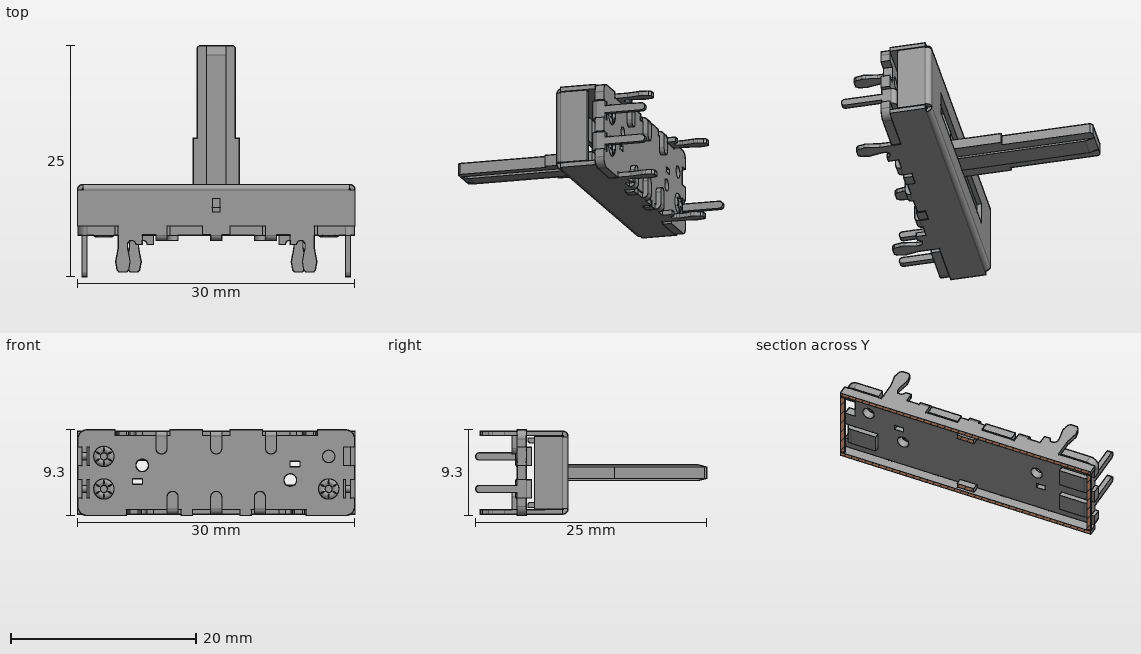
import cadquery as cq
import math


CASE_LENGTH = 30.0
CASE_HEIGHT = 9.0
CASE_SHEET = 0.5
CASE_BEND_RADIUS = 0.6
END_WALL_DEPTH = 3.65
CORNER_SLIT = 0.07
SIDE_WALL_INNER_Z = CASE_HEIGHT / 2 - CASE_SHEET
BEND_RELIEF = 0.62
LEVER_SLOT_LENGTH = 20.0
LEVER_SLOT_HEIGHT = 2.65
WINDOW_WIDTH = 0.86
WINDOW_FRONT_Y = -1.54
WINDOW_DEPTH = 1.46

PLATE_LENGTH = 29.9
PLATE_HEIGHT = 9.3
PLATE_FRONT_Y = -4.52
PLATE_THICKNESS = 1.0
PLATE_BACK_Y = PLATE_FRONT_Y - PLATE_THICKNESS
PLATE_CORNER_RADIUS = 1.0
SIGHT_HOLE_RADIUS = 0.67
SIGHT_HOLE_X = 8.0
SIGHT_HOLE_Z = 0.8
SIGHT_SLOT_X = 8.5
SIGHT_SLOT_Z = 0.95
SIGHT_SLOT_WIDTH = 1.05
SIGHT_SLOT_HEIGHT = 0.57

TONGUE_EDGE_Y = -5.42
UPPER_LEG_X = 10.6
LEG_STAGGER = 1.2
TONGUE_LENGTH = 5.28
NOTCH_CLEARANCE = 0.32
UPPER_CENTRE_TONGUE_WIDTH = 2.95
LOWER_CENTRE_TONGUE_WIDTH = 5.1
FOLD_TAB_WIDTH = 1.2
FOLD_TAB_BACK_Y = -6.07
FOLD_TAB_TIP_Z = 2.02
FOLD_RADIUS = PLATE_BACK_Y - FOLD_TAB_BACK_Y

LEG_NECK_Y = -6.85
LEG_BULGE_TOP_Y = -8.16
LEG_BULGE_BOTTOM_Y = -8.58
LEG_TIP_CHAMFER_Y = -9.25
LEG_TIP_Y = -9.5
LEG_NECK_WIDTH = 1.02
LEG_BULGE = 0.28
LEG_BULGE_SAGITTA = 0.04
LEG_TIP_BULGE = 0.12
LEG_TIP_INSET = 0.1
LEG_RELIEF_RADIUS = 0.45
LEG_FOOT_X = 2.62
LEG_FOOT_Y = -6.52

TERMINAL_WIDTH = 2.0
TERMINAL_Z = 1.76
TERMINAL_OUTER_X = 14.53
TERMINAL_SHEET = 0.58
TERMINAL_BEND_RADIUS = 0.57
TERMINAL_FRONT_Y = PLATE_FRONT_Y + TERMINAL_SHEET
TERMINAL_INNER_X = 11.0
PIN_WIDTH = 0.8
PIN_TIP_Y = -10.0
PIN_SLOT_INNER_X = 13.75

RIVET_X = 12.15
RIVET_OUTER_RADIUS = 1.1
RIVET_INNER_RADIUS = 0.38
RIVET_HEIGHT = 0.18
RIVET_PETALS = 6
RIVET_GROOVE_SIZE = 0.08
GROOVE_TURN = 45
FULL_TURN = 360

LEVER_LENGTH = 15.0
LEVER_WIDTH = 4.15
LEVER_THICKNESS = 1.24
LEVER_TIP_CHAMFER = 0.25
LEVER_BASE_WIDTH = 5.0
LEVER_BASE_LENGTH = 5.0
LEVER_RIB_WIDTH = 2.1
LEVER_RIB_THICKNESS = 1.74
LEVER_RIB_TAPER = 1.0
CARRIAGE_WIDTH = 6.0
CARRIAGE_BACK_Y = -2.53
CARRIAGE_FOOT_WIDTH = 2.0
CARRIAGE_FOOT_BACK_Y = -4.36
CARRIAGE_FOOT_INNER_Z = 3.2
CARRIAGE_FOOT_OUTER_Z = 3.77
CARRIAGE_FOOT_CHAMFER = 0.2


def block(x0, x1, y0, y1, z0, z1):
    """Axis aligned box between two corners."""
    return cq.Workplane("XY").box(x1 - x0, y1 - y0, z1 - z0, centered=False).translate((x0, y0, z0))


def centred_block(width, y0, y1, height):
    """Box centred on the Y axis."""
    return block(-width / 2, width / 2, y0, y1, -height / 2, height / 2)


def side_wall_face(x, side):
    """XY plane at the inner face of a side wall, extruding towards its outside."""
    return cq.Workplane("XY", origin=(x, 0, side * SIDE_WALL_INNER_Z))


def leg_x(side):
    """Distance of the outer leg edge from the middle; the lower legs are staggered inwards."""
    return UPPER_LEG_X if side > 0 else UPPER_LEG_X - LEG_STAGGER


def centre_tongue_width(side):
    return UPPER_CENTRE_TONGUE_WIDTH if side > 0 else LOWER_CENTRE_TONGUE_WIDTH


def make_case():
    half_length = CASE_LENGTH / 2
    inner_x = half_length - CASE_SHEET
    outer = centred_block(CASE_LENGTH, PLATE_FRONT_Y, 0, CASE_HEIGHT)
    outer = outer.faces(">Y").edges().fillet(CASE_BEND_RADIUS)
    inside = centred_block(2 * inner_x, PLATE_FRONT_Y, -CASE_SHEET, 2 * SIDE_WALL_INNER_Z)
    case = outer.cut(inside)
    case = case.cut(centred_block(LEVER_SLOT_LENGTH, -CASE_SHEET, 0, LEVER_SLOT_HEIGHT))
    case = case.cut(
        centred_block(CASE_LENGTH, PLATE_FRONT_Y, -END_WALL_DEPTH, 2 * SIDE_WALL_INNER_Z)
    )
    for side in (1, -1):
        slit_z = side * (SIDE_WALL_INNER_Z - CORNER_SLIT / 2)
        slit = centred_block(CASE_LENGTH, PLATE_FRONT_Y, -CASE_BEND_RADIUS, CORNER_SLIT)
        case = case.cut(slit.translate((0, 0, slit_z)))
    window = block(
        -WINDOW_WIDTH / 2, WINDOW_WIDTH / 2,
        WINDOW_FRONT_Y - WINDOW_DEPTH, WINDOW_FRONT_Y,
        SIDE_WALL_INNER_Z, CASE_HEIGHT / 2,
    )
    case = case.cut(window)

    corner = block(
        CASE_LENGTH / 2 - BEND_RELIEF, CASE_LENGTH / 2,
        -CASE_BEND_RADIUS, 0,
        CASE_HEIGHT / 2 - BEND_RELIEF, CASE_HEIGHT / 2,
    )
    corners = corner.union(corner.mirror("XY"))
    return case.cut(corners).cut(corners.mirror("YZ"))


def make_leg(side):
    """Wall tongue on +X with its mounting leg, relief notch and foot."""
    outer_x = leg_x(side)
    relief_x = LEG_NECK_WIDTH + LEG_RELIEF_RADIUS
    bulge_middle_y = (LEG_BULGE_TOP_Y + LEG_BULGE_BOTTOM_Y) / 2
    bulge_flank = LEG_BULGE - LEG_BULGE_SAGITTA
    leg = (
        side_wall_face(outer_x, side)
        .moveTo(0, PLATE_FRONT_Y)
        .lineTo(0, LEG_NECK_Y)
        .lineTo(bulge_flank, LEG_BULGE_TOP_Y)
        .threePointArc((LEG_BULGE, bulge_middle_y), (bulge_flank, LEG_BULGE_BOTTOM_Y))
        .lineTo(LEG_TIP_BULGE, LEG_TIP_CHAMFER_Y)
        .lineTo(-LEG_TIP_INSET, LEG_TIP_Y)
        .lineTo(-LEG_NECK_WIDTH + LEG_TIP_INSET, LEG_TIP_Y)
        .lineTo(-LEG_NECK_WIDTH - LEG_TIP_BULGE, LEG_TIP_CHAMFER_Y)
        .lineTo(-LEG_NECK_WIDTH - bulge_flank, LEG_BULGE_BOTTOM_Y)
        .threePointArc(
            (-LEG_NECK_WIDTH - LEG_BULGE, bulge_middle_y),
            (-LEG_NECK_WIDTH - bulge_flank, LEG_BULGE_TOP_Y),
        )
        .lineTo(-LEG_NECK_WIDTH, LEG_NECK_Y)
        .lineTo(LEG_RELIEF_RADIUS - relief_x, LEG_FOOT_Y)
        .threePointArc(
            (-relief_x, LEG_FOOT_Y + LEG_RELIEF_RADIUS),
            (-relief_x - LEG_RELIEF_RADIUS, LEG_FOOT_Y),
        )
        .lineTo(-LEG_FOOT_X, LEG_FOOT_Y)
        .lineTo(-LEG_FOOT_X, TONGUE_EDGE_Y)
        .lineTo(-TONGUE_LENGTH, TONGUE_EDGE_Y)
        .lineTo(-TONGUE_LENGTH, PLATE_FRONT_Y)
        .close()
        .extrude(side * CASE_SHEET)
    )
    return leg


def make_fold_tab(x, side):
    """Tab bent from the side wall over the back of the plate, with a round end."""
    outer_z = CASE_HEIGHT / 2
    tip_centre_z = FOLD_TAB_TIP_Z + FOLD_TAB_WIDTH / 2
    middle = FOLD_RADIUS * (1 - math.sqrt(0.5))
    strip = (
        cq.Workplane("YZ", origin=(x - FOLD_TAB_WIDTH / 2, 0, 0))
        .moveTo(TONGUE_EDGE_Y, SIDE_WALL_INNER_Z)
        .lineTo(TONGUE_EDGE_Y, outer_z)
        .lineTo(FOLD_TAB_BACK_Y + FOLD_RADIUS, outer_z)
        .threePointArc(
            (FOLD_TAB_BACK_Y + middle, outer_z - middle),
            (FOLD_TAB_BACK_Y, outer_z - FOLD_RADIUS),
        )
        .lineTo(FOLD_TAB_BACK_Y, tip_centre_z)
        .lineTo(PLATE_BACK_Y, tip_centre_z)
        .lineTo(PLATE_BACK_Y, SIDE_WALL_INNER_Z)
        .close()
        .extrude(FOLD_TAB_WIDTH)
    )
    tip = (
        cq.Workplane("XZ", origin=(x, PLATE_BACK_Y, tip_centre_z))
        .circle(FOLD_TAB_WIDTH / 2)
        .extrude(FOLD_RADIUS)
    )
    tab = strip.union(tip)
    return tab if side > 0 else tab.mirror("XY")


def make_tongues(side):
    legs = make_leg(side)
    tongues = legs.union(legs.mirror("YZ"))
    centre = centred_block(centre_tongue_width(side), TONGUE_EDGE_Y, PLATE_FRONT_Y, CASE_SHEET)
    centre_z = side * (SIDE_WALL_INNER_Z + CASE_SHEET / 2)
    tongues = tongues.union(centre.translate((0, 0, centre_z)))
    outer_tab_x = leg_x(side) - TONGUE_LENGTH + FOLD_TAB_WIDTH / 2
    for x in (-outer_tab_x, 0, outer_tab_x):
        tongues = tongues.union(make_fold_tab(x, side))
    return tongues


def make_plate():
    plate = centred_block(PLATE_LENGTH, PLATE_BACK_Y, PLATE_FRONT_Y, PLATE_HEIGHT)
    plate = plate.edges("|Y").fillet(PLATE_CORNER_RADIUS)

    def through(x, width, z, height):
        cutter = centred_block(width, PLATE_BACK_Y, PLATE_FRONT_Y, height)
        return cutter.translate((x, 0, z))

    notch_height = PLATE_HEIGHT / 2 - SIDE_WALL_INNER_Z
    for side in (1, -1):
        notch_z = side * (SIDE_WALL_INNER_Z + notch_height / 2)
        notch_width = TONGUE_LENGTH + 2 * NOTCH_CLEARANCE
        notch_x = leg_x(side) - TONGUE_LENGTH / 2
        for end in (1, -1):
            plate = plate.cut(through(end * notch_x, notch_width, notch_z, notch_height))
        plate = plate.cut(through(0, centre_tongue_width(side), notch_z, notch_height))
        plate = plate.cut(
            through(side * SIGHT_SLOT_X, SIGHT_SLOT_WIDTH, side * SIGHT_SLOT_Z, SIGHT_SLOT_HEIGHT)
        )
        plate = plate.cut(plate_hole(-side * SIGHT_HOLE_X, side * SIGHT_HOLE_Z))

        opening_width = CASE_LENGTH / 2 - PIN_SLOT_INNER_X
        opening_x = PIN_SLOT_INNER_X + opening_width / 2
        for end in (1, -1):
            plate = plate.cut(through(end * opening_x, opening_width, side * TERMINAL_Z, TERMINAL_WIDTH))
    return plate.cut(plate_hole(RIVET_X, TERMINAL_Z))


def plate_hole(x, z):
    """Round cutter through the plate."""
    circle = cq.Workplane("XZ", origin=(x, PLATE_FRONT_Y, z)).circle(SIGHT_HOLE_RADIUS)
    return circle.extrude(PLATE_THICKNESS)


def make_terminal():
    """Terminal on +X at Z = 0: strip on the plate, bend, neck and round ended pin."""
    neck_inner_x = TERMINAL_OUTER_X - TERMINAL_SHEET
    strip = block(
        TERMINAL_INNER_X, TERMINAL_OUTER_X,
        PLATE_FRONT_Y, TERMINAL_FRONT_Y,
        -TERMINAL_WIDTH / 2, TERMINAL_WIDTH / 2,
    )
    strip = strip.faces(">Y").edges(">X").fillet(TERMINAL_BEND_RADIUS)
    neck = block(
        neck_inner_x, TERMINAL_OUTER_X,
        PLATE_BACK_Y, PLATE_FRONT_Y,
        -TERMINAL_WIDTH / 2, TERMINAL_WIDTH / 2,
    )
    round_y = PIN_TIP_Y + PIN_WIDTH / 2
    pin = (
        cq.Workplane("YZ", origin=(neck_inner_x, 0, 0))
        .moveTo(PLATE_BACK_Y, PIN_WIDTH / 2)
        .lineTo(round_y, PIN_WIDTH / 2)
        .threePointArc((PIN_TIP_Y, 0), (round_y, -PIN_WIDTH / 2))
        .lineTo(PLATE_BACK_Y, -PIN_WIDTH / 2)
        .close()
        .extrude(TERMINAL_SHEET)
    )
    return strip.union(neck).union(pin).union(make_rivet_head())


def make_rivet_head():
    """Domed ring on the back of the plate, split into petals by radial grooves."""
    crown_radius = (RIVET_OUTER_RADIUS + RIVET_INNER_RADIUS) / 2
    head = (
        cq.Workplane("XY")
        .moveTo(RIVET_INNER_RADIUS, 0)
        .threePointArc((crown_radius, -RIVET_HEIGHT), (RIVET_OUTER_RADIUS, 0))
        .close()
        .revolve(FULL_TURN, (0, 0, 0), (0, 1, 0))
    )
    groove = (
        cq.Workplane("XY")
        .box(RIVET_GROOVE_SIZE, RIVET_GROOVE_SIZE, RIVET_OUTER_RADIUS, centered=(True, True, False))
        .rotate((0, 0, 0), (0, 0, 1), GROOVE_TURN)
        .translate((0, -RIVET_HEIGHT, 0))
    )
    for petal in range(RIVET_PETALS):
        head = head.cut(groove.rotate((0, 0, 0), (0, 1, 0), petal * FULL_TURN / RIVET_PETALS))
    return head.translate((RIVET_X, PLATE_BACK_Y, 0))


def make_terminals():
    right = make_terminal()
    left = right.mirror("YZ")
    terminals = right.translate((0, 0, -TERMINAL_Z))
    for side in (1, -1):
        terminals = terminals.union(left.translate((0, 0, side * TERMINAL_Z)))
    return terminals


def make_carriage_foot(side):
    """Foot on the back of the carriage, chamfered on its inner rear edge."""
    foot = block(
        -CARRIAGE_FOOT_WIDTH / 2, CARRIAGE_FOOT_WIDTH / 2,
        CARRIAGE_FOOT_BACK_Y, CARRIAGE_BACK_Y,
        CARRIAGE_FOOT_INNER_Z, CARRIAGE_FOOT_OUTER_Z,
    )
    foot = foot.faces("<Y").edges("<Z").chamfer(CARRIAGE_FOOT_CHAMFER)
    return foot if side > 0 else foot.mirror("XY")


def make_lever():
    grip = centred_block(LEVER_WIDTH, 0, LEVER_LENGTH, LEVER_THICKNESS)
    grip = grip.faces(">Y").edges("|Z").chamfer(LEVER_TIP_CHAMFER)
    base = centred_block(LEVER_BASE_WIDTH, -CASE_SHEET, LEVER_BASE_LENGTH, LEVER_THICKNESS)
    taper_y = LEVER_LENGTH - LEVER_RIB_TAPER
    half_rib = LEVER_RIB_THICKNESS / 2
    half_tip = LEVER_THICKNESS / 2
    rib_points = [
        (-CASE_SHEET, half_rib),
        (taper_y, half_rib),
        (LEVER_LENGTH, half_tip),
        (LEVER_LENGTH, -half_tip),
        (taper_y, -half_rib),
        (-CASE_SHEET, -half_rib),
    ]
    rib = (
        cq.Workplane("YZ")
        .polyline(rib_points)
        .close()
        .extrude(LEVER_RIB_WIDTH / 2, both=True)
    )
    carriage = centred_block(CARRIAGE_WIDTH, CARRIAGE_BACK_Y, -CASE_SHEET, 2 * SIDE_WALL_INNER_Z)
    for side in (1, -1):
        carriage = carriage.union(make_carriage_foot(side))
    return grip.union(base).union(rib).union(carriage)


result = make_case().union(make_plate())
for wall_side in (1, -1):
    result = result.union(make_tongues(wall_side))
result = result.union(make_terminals()).union(make_lever())